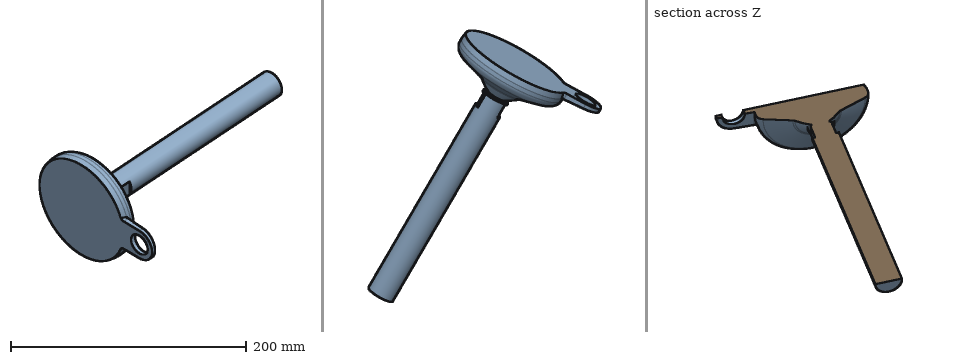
import cadquery as cq
import math

total_length = 235.0

base_radius = 50.0
sole_radius = 49.0
rim_bottom = 5.6
rim_top = 9.5
shoulder_radius = 7.0
cone_angle = math.radians(20)
cone_top_radius = 21.6

dome_base_radius = 20.0
dome_base_height = 25.5
dome_mid_radius = 14.0
dome_mid_height = 30.5
dome_top_radius = 8.2
dome_top_height = 34.0
neck_radius = 9.2

stem_radius = 12.0
stem_start = 35.5
flat_spacing = 19.0
flat_start = 36.7
flat_end = 49.4

lug_radius = 15.0
lug_center = 133.0 - base_radius - lug_radius
lug_hole_radius = 9.6
lug_root_thickness = 5.6
lug_tip_thickness = 3.8
root_fillet = 4.0


def make_base():
    """Revolve the tapered sole, rounded shoulder, cone and dome about Y."""
    shoulder_center = base_radius - shoulder_radius

    def shoulder_point(angle):
        return (
            shoulder_center + shoulder_radius * math.cos(angle),
            rim_top + shoulder_radius * math.sin(angle),
        )

    shoulder_sweep = math.pi / 2 - cone_angle
    cone_start = shoulder_point(shoulder_sweep)
    cone_top_height = cone_start[1] + (cone_start[0] - cone_top_radius) * math.tan(cone_angle)
    return (
        cq.Workplane("XY")
        .lineTo(sole_radius, 0)
        .lineTo(base_radius, rim_bottom)
        .lineTo(base_radius, rim_top)
        .threePointArc(shoulder_point(shoulder_sweep / 2), cone_start)
        .lineTo(cone_top_radius, cone_top_height)
        .tangentArcPoint((dome_base_radius, dome_base_height), relative=False)
        .threePointArc((dome_mid_radius, dome_mid_height), (dome_top_radius, dome_top_height))
        .lineTo(neck_radius, stem_start)
        .lineTo(0, stem_start)
        .close()
        .revolve(360, (0, 0), (0, 1))
    )


def make_stem():
    """Round stem with a pair of flats facing -X and +X."""
    stem = (
        cq.Workplane("XZ", origin=(0, stem_start, 0))
        .circle(stem_radius)
        .extrude(-(total_length - stem_start))
    )
    flat_length = flat_end - flat_start
    cutter_size = 2 * stem_radius
    for side in (-1, 1):
        cutter_x = side * (flat_spacing + cutter_size) / 2
        cutter = cq.Workplane("XY").box(cutter_size, flat_length, cutter_size)
        stem = stem.cut(cutter.translate((cutter_x, (flat_start + flat_end) / 2, 0)))
    return stem


def make_lug():
    """Eyelet flared into the sole, its thickness tapering towards the tip."""
    fillet_z = lug_radius + root_fillet
    fillet_distance = sole_radius + root_fillet
    fillet_x = math.sqrt(fillet_distance**2 - fillet_z**2)
    root_x = fillet_x * sole_radius / fillet_distance
    root_z = fillet_z * sole_radius / fillet_distance

    end_angle = math.atan2(-fillet_z, -fillet_x)
    mid_angle = (end_angle - math.pi / 2) / 2
    mid_x = fillet_x + root_fillet * math.cos(mid_angle)
    mid_z = fillet_z + root_fillet * math.sin(mid_angle)

    outline = (
        cq.Workplane("XZ")
        .lineTo(root_x, root_z)
        .threePointArc((mid_x, mid_z), (fillet_x, lug_radius))
        .lineTo(lug_center, lug_radius)
        .threePointArc((lug_center + lug_radius, 0), (lug_center, -lug_radius))
        .lineTo(fillet_x, -lug_radius)
        .threePointArc((mid_x, -mid_z), (root_x, -root_z))
        .close()
        .extrude(-lug_root_thickness)
    )
    lug_tip = lug_center + lug_radius
    side_profile = (
        cq.Workplane("XY")
        .polyline([
            (0, 0),
            (lug_tip, 0),
            (lug_tip, lug_tip_thickness),
            (base_radius, lug_root_thickness),
            (0, lug_root_thickness),
        ])
        .close()
        .extrude(base_radius, both=True)
    )
    hole = (
        cq.Workplane("XZ")
        .center(lug_center, 0)
        .circle(lug_hole_radius)
        .extrude(-lug_root_thickness)
    )
    return outline.intersect(side_profile).cut(hole)


result = make_base().union(make_stem()).union(make_lug())